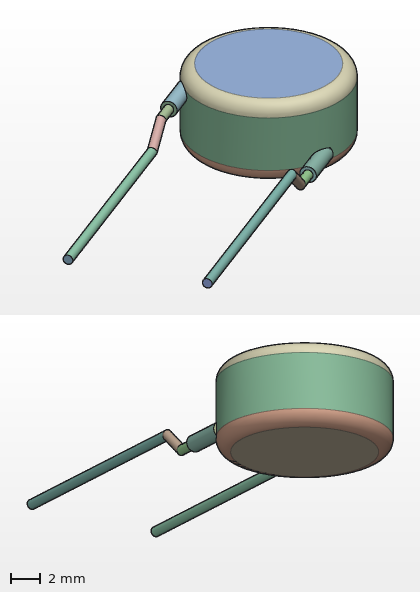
import cadquery as cq

disc_diameter = 12.0
disc_radius = disc_diameter / 2
disc_height = disc_diameter / 2
edge_radius = 1.0

overall_length = 32.0
lead_spacing = 10.0
lead_diameter = 0.7
lead_offset = 1.6
bend_start = 7.52
bend_length = 1.75

collar_diameter = 1.2
collar_length = 3.33

front_y = -disc_radius
tip_y = disc_radius - overall_length
first_bend_y = -bend_start
second_bend_y = first_bend_y - bend_length

lead_roots = [
    (-lead_spacing / 2, lead_offset),
    (lead_spacing / 2, -lead_offset),
]


def make_disc():
    """Coated disc with rounded rims."""
    return (
        cq.Workplane("XY", origin=(0, 0, -disc_height / 2))
        .circle(disc_radius)
        .extrude(disc_height)
        .faces("|Z")
        .edges()
        .fillet(edge_radius)
    )


def make_collar(x, z):
    """Cylinder along Y around a lead root, running from the disc front back into the disc."""
    front_plane = cq.Plane(origin=(x, front_y, z), xDir=(1, 0, 0), normal=(0, 1, 0))
    return cq.Workplane(front_plane).circle(collar_diameter / 2).extrude(collar_length)


def make_housing():
    """Disc and both collars as one coated body."""
    housing = make_disc()
    for x, z in lead_roots:
        housing = housing.union(make_collar(x, z))
    return housing


def make_lead(x, root_z):
    """Round wire that starts on the collar's end face and is mitred twice to reach mid-height."""
    path = cq.Workplane("YZ", origin=(x, 0, 0)).polyline([
        (front_y, root_z),
        (first_bend_y, root_z),
        (second_bend_y, 0),
        (tip_y, 0),
    ])
    root_plane = cq.Plane(origin=(x, front_y, root_z), xDir=(1, 0, 0), normal=(0, -1, 0))
    return cq.Workplane(root_plane).circle(lead_diameter / 2).sweep(path, transition="right")


housing = make_housing()
leads = [make_lead(x, z) for x, z in lead_roots]

result = cq.Compound.makeCompound([housing.val(), *[lead.val() for lead in leads]])